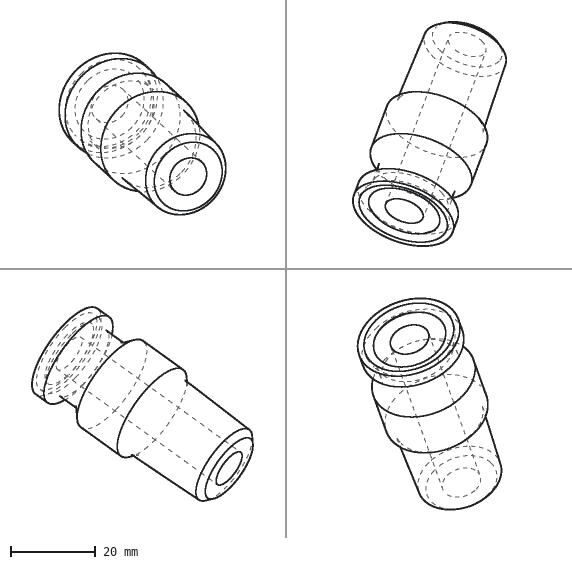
import cadquery as cq
import math

length = 50.8
bore_dia = 9.4

flange_dia = 25.0
flange_rim_end = 3.75
flange_back_angle = 20.0
groove_dia = 21.9
groove_wall_depth = 1.15
groove_radius = 0.8
groove_cone_angle = 38.0
inner_face_dia = 17.65

neck_dia = 19.05
flange_fillet = 0.6
body_fillet = 0.85

body_dia = 25.2
body_start = 14.15
body_end = 26.7
shoulder_fillet = 0.6

pipe_dia = 21.6
taper_start = 31.05
taper_on_dia = 1 / 16
end_chamfer = 1.6

flange_r = flange_dia / 2
groove_r = groove_dia / 2
inner_face_r = inner_face_dia / 2
neck_r = neck_dia / 2
body_r = body_dia / 2
pipe_r = pipe_dia / 2

flange_back_end = flange_rim_end + (flange_r - neck_r) * math.tan(math.radians(flange_back_angle))
front_shoulder_start = body_start - (body_r - neck_r)
rear_shoulder_end = body_end + (body_r - pipe_r)
taper_end = length - end_chamfer
taper_end_r = pipe_r - (taper_end - taper_start) * taper_on_dia / 2
tip_r = taper_end_r - end_chamfer


def revolve_about_x(profile):
    return profile.close().revolve(360, (0, 0, 0), (1, 0, 0))


def make_outer_shape():
    profile = (
        cq.Workplane("XY")
        .lineTo(0, flange_r)
        .lineTo(flange_rim_end, flange_r)
        .lineTo(flange_back_end, neck_r)
        .lineTo(front_shoulder_start, neck_r)
        .lineTo(body_start, body_r)
        .lineTo(body_end, body_r)
        .lineTo(rear_shoulder_end, pipe_r)
        .lineTo(taper_start, pipe_r)
        .lineTo(taper_end, taper_end_r)
        .lineTo(length, tip_r)
        .lineTo(length, 0)
    )
    return revolve_about_x(profile)


def round_corner(solid, station, radius, fillet):
    """Fillet the circular edge of the given radius at the given station."""
    margin = 0.05
    reach = radius + margin
    box = cq.selectors.BoxSelector(
        (station - margin, -reach, -reach),
        (station + margin, reach, reach),
        boundingbox=True,
    )
    return solid.edges("%CIRCLE").edges(box).fillet(fillet)


def make_face_recess():
    """Recessed inner face and the round-bottomed groove around it."""
    slope = math.radians(groove_cone_angle)
    arc_center_r = groove_r - groove_radius

    def arc_point(angle):
        return (
            groove_wall_depth + groove_radius * math.cos(angle),
            arc_center_r + groove_radius * math.sin(angle),
        )

    arc_end_angle = slope - math.pi / 2
    cone_base = arc_point(arc_end_angle)
    arc_middle = arc_point((math.pi / 2 + arc_end_angle) / 2)
    inner_face_depth = cone_base[0] - (cone_base[1] - inner_face_r) / math.tan(slope)
    profile = (
        cq.Workplane("XY")
        .lineTo(0, groove_r)
        .lineTo(groove_wall_depth, groove_r)
        .threePointArc(arc_middle, cone_base)
        .lineTo(inner_face_depth, inner_face_r)
        .lineTo(inner_face_depth, 0)
    )
    return revolve_about_x(profile)


def make_bore():
    return cq.Workplane("YZ").circle(bore_dia / 2).extrude(length)


result = make_outer_shape()
result = round_corner(result, flange_back_end, neck_r, flange_fillet)
result = round_corner(result, front_shoulder_start, neck_r, body_fillet)
result = round_corner(result, rear_shoulder_end, pipe_r, shoulder_fillet)
result = result.cut(make_face_recess()).cut(make_bore())